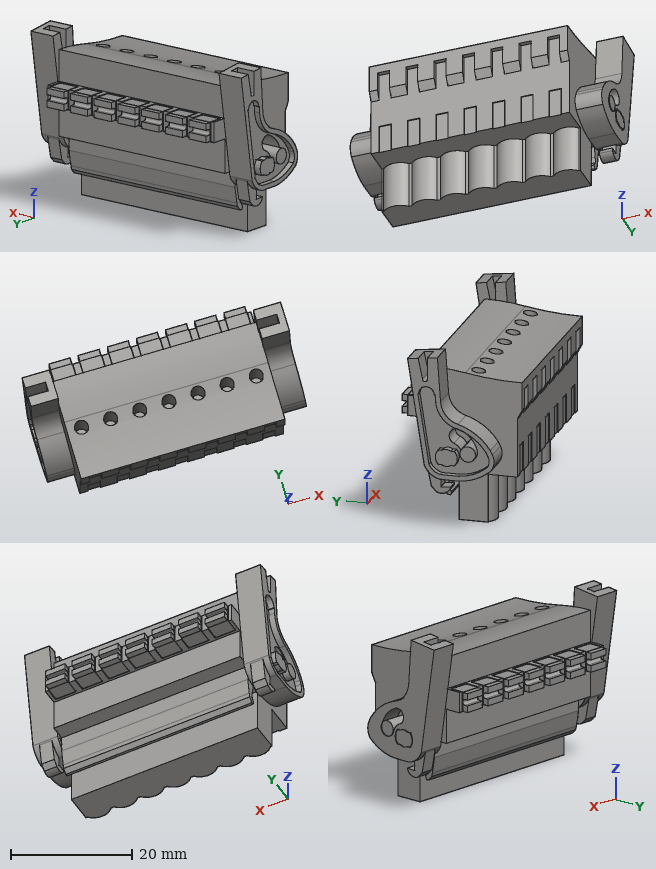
import cadquery as cq
import math

POLES = 7
PITCH = 5.0
HOUSING_WIDTH = POLES * PITCH
POLE_X = [(i - (POLES - 1) / 2) * PITCH for i in range(POLES)]

OVERALL_WIDTH = 44.7
BASE_Z = 8.35
BACK_Y = 16.7
FRONT_TOP_Z = 24.85
FRONT_ARC_Y, FRONT_ARC_Z = 4.83, 25.05
CREST_Y, CREST_Z = 9.75, 25.65
BACK_TOP_Z = 26.25
LOWER_FACE_Y = 0.8
OVERHANG_TOP_Z = 20.03
OVERHANG_BOTTOM_Z = 18.45
BACK_BOTTOM_Z = 11.35
STEP_WALL_Y = 14.1

RAIL_BACK_Y = 19.62
RAIL_BOTTOM_Z, RAIL_TOP_Z = 17.25, 20.8

WINDOW_WIDTH = 2.1
WINDOW_TOP_Z = 23.35
LOWER_WINDOW_TOP_Z = 13.35
LOWER_WINDOW_DEPTH = 0.2
HOLE_DIAMETER = 2.3
HOLE_Y = 8.2
HOLE_FLOOR_Z = 17.9

PLUG_BACK_Y = 10.8
PLUG_WEB_Y = 5.85
PLUG_FRONT_Y = 4.85
PLUG_WIDTH = 4.45

LATCH_POINTS = [
    (12.15, BASE_Z), (12.55, 6.6), (12.65, 5.55), (12.05, 4.75),
    (12.3, 4.15), (12.7, 4.15), (13.4, 4.9), (13.6, 5.6),
]

LEVER_OUTER_X = 22.2
LEVER_INNER_X = HOUSING_WIDTH / 2
LEVER_THICKNESS = LEVER_OUTER_X - LEVER_INNER_X

GRIP_BACK = (18.3, 28.88)
GRIP_FRONT = (13.15, 29.5)
NECK_TOP = (12.6, 21.9)
NECK_END = (9.6, 18.25)
HEAD_END = (4.05, 14.2)
NOSE_TOP = (3.7, 13.5)
NOSE_END = (3.95, 10.7)
BELLY_MIDDLE = (6.55, 9.05)
BELLY_END = (9.5, BASE_Z)
HEEL_START = (12.75, BASE_Z)
HEEL_MIDDLE = (14.25, 9.07)
HEEL_END = (15.4, 10.6)

RIM = 0.85
RECESS_DEPTH = 1.07
CAP_Y, CAP_Z, CAP_RADIUS = 15.0, 22.95, 1.35
GRIP_SLOT_LENGTH = 3.5
GRIP_SLOT_TOP_BACK_Y = 16.55
GRIP_SLOT_BACK_Y, GRIP_SLOT_FRONT_Y = 15.7, 14.9
GRIP_SLOT_ARC_Z = 25.52
HOOK_WIDTH = 2.35
HOOK_ROOT_Z = 10.75
HOOK_ROOT_Y = 15.38
HOOK_BEND = (14.53, 6.6)
HOOK_KNEE = (13.65, 5.7)
HOOK_BOTTOM = (12.5, 5.55)
HOOK_NOSE = (11.35, 6.35)
HOOK_TIP = (11.2, 6.75)
HOOK_CORNER = (12.87, 6.65)

PIVOT_Y, PIVOT_Z = 11.58, 12.25
PIVOT_RADIUS = 1.48
KEY_RADIUS = 1.88
KEY_HEIGHT = 2.5
GUIDE_SWING = 3.8
GUIDE_RADIUS = 1.35
PIN_ANGLE = 14.5
SLOT_END_ANGLE = 67.0

BUTTON_WIDTH = 3.7
BUTTON_GAP = 0.065
BUTTON_FRONT_Y = 17.15
BUTTON_STEP_Y = 19.75
BUTTON_BACK_Y = 20.8
TIP_STEP = 0.05
BUTTON_BOTTOM_Z, BUTTON_TOP_Z = 17.35, 20.7
NOTCH_HEIGHT = 1.0


def box(x0, x1, y0, y1, z0, z1):
    return cq.Workplane("XY").box(x1 - x0, y1 - y0, z1 - z0, centered=False).translate((x0, y0, z0))


def side_plane(x):
    """Workplane at the given X; its axes are Y and Z and it extrudes toward +X."""
    return cq.Workplane("YZ", origin=(x, 0, 0))


def swing_point(angle, radius=GUIDE_SWING):
    """(Y, Z) on a circle round the pivot, the angle measured from -Y toward +Z."""
    a = math.radians(angle)
    return PIVOT_Y - radius * math.cos(a), PIVOT_Z + radius * math.sin(a)


def pivot_stud(x, length):
    """Round stud with two wings along Y."""
    wings = side_plane(x).center(PIVOT_Y, PIVOT_Z).circle(KEY_RADIUS).extrude(length)
    band = side_plane(x).center(PIVOT_Y, PIVOT_Z).rect(2 * KEY_RADIUS, KEY_HEIGHT).extrude(length)
    core = side_plane(x).center(PIVOT_Y, PIVOT_Z).circle(PIVOT_RADIUS).extrude(length)
    return wings.intersect(band).union(core)


def housing_shell():
    return (
        side_plane(-HOUSING_WIDTH / 2)
        .moveTo(LOWER_FACE_Y, BASE_Z)
        .lineTo(LOWER_FACE_Y, OVERHANG_BOTTOM_Z)
        .lineTo(0, OVERHANG_TOP_Z)
        .lineTo(0, FRONT_TOP_Z)
        .threePointArc((FRONT_ARC_Y, FRONT_ARC_Z), (CREST_Y, CREST_Z))
        .tangentArcPoint((BACK_Y, BACK_TOP_Z), relative=False)
        .lineTo(BACK_Y, BACK_BOTTOM_Z)
        .lineTo(STEP_WALL_Y, BACK_BOTTOM_Z)
        .lineTo(STEP_WALL_Y, BASE_Z)
        .close()
        .extrude(HOUSING_WIDTH)
    )


def button_rail():
    half = HOUSING_WIDTH / 2
    rail = box(-half, half, BACK_Y, RAIL_BACK_Y, RAIL_BOTTOM_Z, RAIL_TOP_Z)
    half_pocket = BUTTON_WIDTH / 2 + BUTTON_GAP
    for x in POLE_X:
        rail = rail.cut(box(x - half_pocket, x + half_pocket, BUTTON_FRONT_Y, RAIL_BACK_Y,
                            RAIL_BOTTOM_Z, RAIL_TOP_Z))
    return rail


def plug_block():
    """Flat-sided block with one rounded plug per pole along its front."""
    half = HOUSING_WIDTH / 2
    block = box(-half, half, PLUG_WEB_Y, PLUG_BACK_Y, 0, BASE_Z)
    for x in POLE_X:
        plug = (
            cq.Workplane("XY")
            .moveTo(x - PLUG_WIDTH / 2, PLUG_WEB_Y)
            .threePointArc((x, PLUG_FRONT_Y), (x + PLUG_WIDTH / 2, PLUG_WEB_Y))
            .close()
            .extrude(BASE_Z)
        )
        block = block.union(plug)
    return block


def latch_rib():
    """Bent rib that hangs below the back edge of the housing."""
    return (
        side_plane(-HOUSING_WIDTH / 2)
        .moveTo(STEP_WALL_Y, BASE_Z)
        .polyline(LATCH_POINTS, includeCurrent=True)
        .close()
        .extrude(HOUSING_WIDTH)
    )


def make_housing():
    body = housing_shell().union(button_rail()).union(plug_block()).union(latch_rib())
    half_window = WINDOW_WIDTH / 2
    for x in POLE_X:
        x0, x1 = x - half_window, x + half_window
        upper = box(x0, x1, 0, LOWER_FACE_Y, OVERHANG_BOTTOM_Z, WINDOW_TOP_Z)
        lower = box(x0, x1, LOWER_FACE_Y, LOWER_FACE_Y + LOWER_WINDOW_DEPTH, BASE_Z, LOWER_WINDOW_TOP_Z)
        hole = (
            cq.Workplane("XY", origin=(x, HOLE_Y, HOLE_FLOOR_Z))
            .circle(HOLE_DIAMETER / 2)
            .extrude(BACK_TOP_Z - HOLE_FLOOR_Z)
        )
        body = body.cut(upper).cut(lower).cut(hole)
    stud_length = OVERALL_WIDTH / 2 - LEVER_INNER_X
    for x in (-OVERALL_WIDTH / 2, LEVER_INNER_X):
        guide_pin = side_plane(x).center(*swing_point(PIN_ANGLE)).circle(GUIDE_RADIUS).extrude(stud_length)
        body = body.union(pivot_stud(x, stud_length)).union(guide_pin)
    return body


def lever_outline(x):
    return (
        side_plane(x)
        .moveTo(*GRIP_BACK)
        .lineTo(*GRIP_FRONT)
        .lineTo(*NECK_TOP)
        .tangentArcPoint(NECK_END, relative=False)
        .tangentArcPoint(HEAD_END, relative=False)
        .lineTo(*NOSE_TOP)
        .tangentArcPoint(NOSE_END, relative=False)
        .threePointArc(BELLY_MIDDLE, BELLY_END)
        .lineTo(*HEEL_START)
        .threePointArc(HEEL_MIDDLE, HEEL_END)
        .close()
    )


def lever_recess(x):
    """Shallow pocket that leaves an even rim and ends in a round cap below the grip."""
    inside = lever_outline(x).offset2D(-RIM).extrude(RECESS_DEPTH)
    below_cap = box(x, x + RECESS_DEPTH, 0, GRIP_BACK[0], BASE_Z, CAP_Z)
    cap = side_plane(x).center(CAP_Y, CAP_Z).circle(CAP_RADIUS).extrude(RECESS_DEPTH)
    return inside.intersect(below_cap).union(cap)


def grip_slot(x):
    """Tapered slot in the top of the grip, open toward -X."""
    radius = (GRIP_SLOT_BACK_Y - GRIP_SLOT_FRONT_Y) / 2
    middle_y = GRIP_SLOT_FRONT_Y + radius
    top_z = GRIP_FRONT[1]
    return (
        side_plane(x)
        .moveTo(GRIP_SLOT_TOP_BACK_Y, top_z)
        .lineTo(GRIP_SLOT_BACK_Y, GRIP_SLOT_ARC_Z)
        .threePointArc((middle_y, GRIP_SLOT_ARC_Z - radius), (GRIP_SLOT_FRONT_Y, GRIP_SLOT_ARC_Z))
        .lineTo(GRIP_SLOT_FRONT_Y, top_z)
        .close()
        .extrude(GRIP_SLOT_LENGTH)
    )


def guide_slot(x):
    """Curved slot round the pivot in which the guide pin travels."""
    inner = GUIDE_SWING - GUIDE_RADIUS
    outer = GUIDE_SWING + GUIDE_RADIUS
    middle = (PIN_ANGLE + SLOT_END_ANGLE) / 2
    slot = (
        side_plane(x)
        .moveTo(*swing_point(PIN_ANGLE, inner))
        .threePointArc(swing_point(middle, inner), swing_point(SLOT_END_ANGLE, inner))
        .lineTo(*swing_point(SLOT_END_ANGLE, outer))
        .threePointArc(swing_point(middle, outer), swing_point(PIN_ANGLE, outer))
        .close()
        .extrude(LEVER_THICKNESS)
    )
    for angle in (PIN_ANGLE, SLOT_END_ANGLE):
        end = side_plane(x).center(*swing_point(angle)).circle(GUIDE_RADIUS).extrude(LEVER_THICKNESS)
        slot = slot.union(end)
    return slot


def lever_hook(x):
    """Hook below the lever, centred in its thickness."""
    return (
        side_plane(x + (LEVER_THICKNESS - HOOK_WIDTH) / 2)
        .moveTo(HOOK_ROOT_Y, HOOK_ROOT_Z)
        .lineTo(*HOOK_BEND)
        .lineTo(*HOOK_KNEE)
        .threePointArc(HOOK_BOTTOM, HOOK_NOSE)
        .lineTo(*HOOK_TIP)
        .lineTo(*HOOK_CORNER)
        .lineTo(HOOK_CORNER[0], HOOK_ROOT_Z)
        .close()
        .extrude(HOOK_WIDTH)
    )


def make_left_lever():
    x = -LEVER_OUTER_X
    lever = lever_outline(x).extrude(LEVER_THICKNESS)
    lever = lever.union(lever_hook(x))
    lever = lever.cut(lever_recess(x)).cut(grip_slot(x)).cut(guide_slot(x))
    return lever.cut(pivot_stud(x, LEVER_THICKNESS))


def make_button(x):
    x0 = x - BUTTON_WIDTH / 2
    x1 = x + BUTTON_WIDTH / 2
    shank = box(x0, x1, BUTTON_FRONT_Y, BUTTON_STEP_Y, BUTTON_BOTTOM_Z, BUTTON_TOP_Z)
    tip = box(x0 + TIP_STEP, x1 - TIP_STEP, BUTTON_STEP_Y, BUTTON_BACK_Y,
              BUTTON_BOTTOM_Z + TIP_STEP, BUTTON_TOP_Z - TIP_STEP)
    middle_z = (BUTTON_BOTTOM_Z + BUTTON_TOP_Z) / 2
    radius = NOTCH_HEIGHT / 2
    notch = (
        side_plane(x0)
        .moveTo(BUTTON_BACK_Y, middle_z - radius)
        .lineTo(BUTTON_STEP_Y + radius, middle_z - radius)
        .threePointArc((BUTTON_STEP_Y, middle_z), (BUTTON_STEP_Y + radius, middle_z + radius))
        .lineTo(BUTTON_BACK_Y, middle_z + radius)
        .close()
        .extrude(BUTTON_WIDTH)
    )
    return shank.union(tip).cut(notch)


housing = make_housing()
left_lever = make_left_lever()
right_lever = left_lever.translate((LEVER_OUTER_X + LEVER_INNER_X, 0, 0))
buttons = [make_button(x) for x in POLE_X]

result = cq.Compound.makeCompound(
    [housing.val(), left_lever.val(), right_lever.val()] + [button.val() for button in buttons]
)